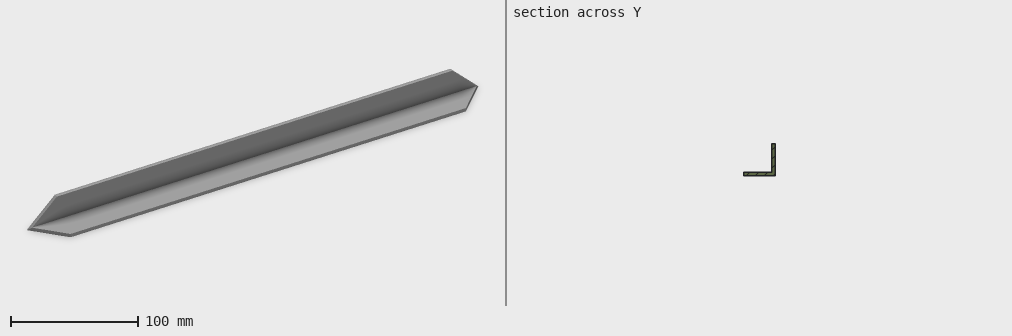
import cadquery as cq

LEG = 25.4
THICKNESS = 3.175
LENGTH = 406.35
MITRE = LEG


def angle_bar():
    """L section with its outer corner on the Y axis, extruded along +Y."""
    section = [
        (0, 0),
        (LEG, 0),
        (LEG, THICKNESS),
        (THICKNESS, THICKNESS),
        (THICKNESS, LEG),
        (0, LEG),
    ]
    return cq.Workplane("XZ").polyline(section).close().extrude(-LENGTH)


def mitre_outline(plane):
    """Trapezoid prism, one leg deep, that narrows away from the corner edge."""
    outline = [
        (0, 0),
        (LEG, MITRE),
        (LEG, LENGTH - MITRE),
        (0, LENGTH),
    ]
    return cq.Workplane(plane).polyline(outline).close().extrude(LEG)


flat_leg_mitre = mitre_outline("XY")
upright_leg_mitre = mitre_outline("ZY").translate((LEG, 0, 0))

result = angle_bar().intersect(flat_leg_mitre).intersect(upright_leg_mitre)